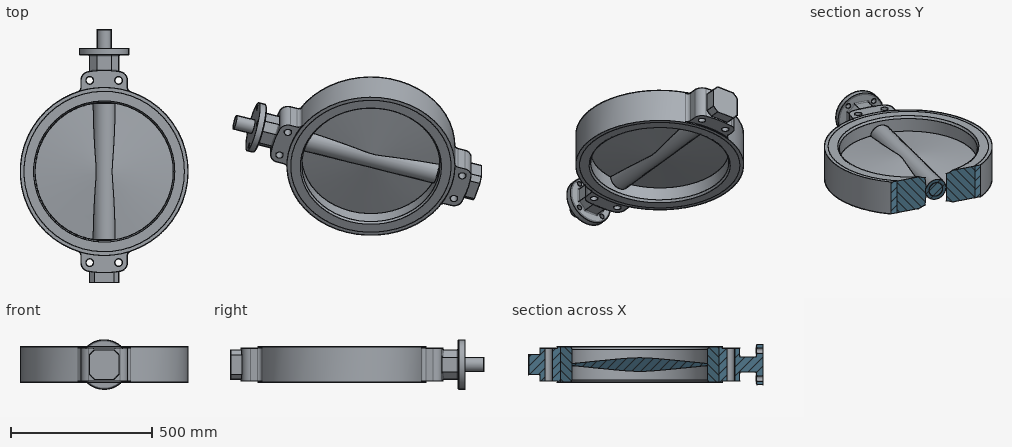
import cadquery as cq
import math

OVERALL_LENGTH = 895.0

RING_RADIUS = 297.0
RING_WIDTH = 126.0

LUG_WIDTH = 116.0
LUG_HOLE_X = 51.0
LUG_HOLE_Y = 322.0
LUG_HOLE_DIAMETER = 26.0
LUG_CORNER_RADIUS = 31.0
LUG_ROOT_FILLET = 16.0
LUG_HALF_SPAN = LUG_HOLE_X + LUG_CORNER_RADIUS
LUG_HOLE_DISTANCE = math.hypot(LUG_HOLE_X, LUG_HOLE_Y)
LUG_END_RADIUS = LUG_HOLE_DISTANCE + LUG_CORNER_RADIUS

NECK_WIDTH = 105.0
NECK_CHAMFER = 27.0
NECK_FILLET = 4.0
FLANGE_RADIUS = 88.0
FLANGE_THICKNESS = 24.0
FLANGE_CHAMFER = 3.0
FLANGE_BOLT_CIRCLE = 140.0
FLANGE_HOLE_DIAMETER = 18.0
FLANGE_HOLE_COUNT = 4
FLANGE_FIRST_HOLE_ANGLE = 45

FOOT_CHAMFER = 18.0

SHAFT_DIAMETER = 50.0
SHAFT_PROJECTION = 66.0

LINER_OUTER_RADIUS = 284.0
LINER_BORE_RADIUS = 244.0
LINER_CHAMFER_RADIAL = 5.0
LINER_CHAMFER_AXIAL = 9.0

DISC_RIM_THICKNESS = 9.0
DISC_CENTRE_THICKNESS = 61.0
HUB_RADIUS = 39.0
HUB_LENGTH = 481.5

SHAFT_TOP_Y = 502.0
FOOT_END_Y = SHAFT_TOP_Y - OVERALL_LENGTH
FLANGE_TOP_Y = SHAFT_TOP_Y - SHAFT_PROJECTION
FLANGE_BOTTOM_Y = FLANGE_TOP_Y - FLANGE_THICKNESS
STUB_BOTTOM_Y = -LUG_END_RADIUS
SHAFT_ENGAGEMENT_Y = HUB_LENGTH / 4


def plane_across_shaft(y):
    """Workplane across the shaft axis at y, facing +Y."""
    return cq.Workplane(cq.Plane(origin=(0, y, 0), xDir=(1, 0, 0), normal=(0, 1, 0)))


def plane_across_flow(z):
    """Workplane across the flow axis at z, facing +Z."""
    return cq.Workplane("XY", origin=(0, 0, z))


def disc_slab(radius, thickness):
    """Round slab about the Z axis, centred on z = 0."""
    return plane_across_flow(-thickness / 2).circle(radius).extrude(thickness)


def shaft_piece(y_start, y_end):
    return plane_across_shaft(y_start).circle(SHAFT_DIAMETER / 2).extrude(y_end - y_start)


def make_drive_shaft():
    """Upper shaft, from inside the disc hub out through the flange."""
    return shaft_piece(SHAFT_ENGAGEMENT_Y, SHAFT_TOP_Y)


def make_lower_stub():
    """Lower bearing shaft, from inside the disc hub to the blind end of the housing bore."""
    return shaft_piece(STUB_BOTTOM_Y, -SHAFT_ENGAGEMENT_Y)


def bore_for_shafts(body):
    return body.cut(make_drive_shaft()).cut(make_lower_stub())


def octagon_bar(y_start, y_end, chamfer):
    """Square bar along Y with its four long edges chamfered."""
    bar = plane_across_shaft(y_start).rect(NECK_WIDTH, NECK_WIDTH).extrude(y_end - y_start)
    return bar.edges("|Y").chamfer(chamfer)


def lug_plate(side):
    """Lug on the +Y (side = 1) or -Y (side = -1) end; its corners are concentric with its holes."""
    reach = LUG_END_RADIUS / LUG_HOLE_DISTANCE
    tangent_x = LUG_HOLE_X * reach
    tangent_y = side * LUG_HOLE_Y * reach
    hole_y = side * LUG_HOLE_Y
    middle_angle = math.atan2(LUG_HOLE_Y, LUG_HOLE_X) / 2
    middle_x = LUG_HOLE_X + LUG_CORNER_RADIUS * math.cos(middle_angle)
    middle_y = hole_y + side * LUG_CORNER_RADIUS * math.sin(middle_angle)
    outline = (
        plane_across_flow(-LUG_WIDTH / 2)
        .moveTo(-LUG_HALF_SPAN, 0)
        .lineTo(LUG_HALF_SPAN, 0)
        .lineTo(LUG_HALF_SPAN, hole_y)
        .threePointArc((middle_x, middle_y), (tangent_x, tangent_y))
        .threePointArc((0, side * LUG_END_RADIUS), (-tangent_x, tangent_y))
        .threePointArc((-middle_x, middle_y), (-LUG_HALF_SPAN, hole_y))
        .close()
    )
    return outline.extrude(LUG_WIDTH)


def lugged_ring():
    """Ring blank with both lugs, blended into the ring at their roots."""
    blank = disc_slab(RING_RADIUS, LUG_WIDTH).union(lug_plate(1)).union(lug_plate(-1))
    root_y = math.sqrt(RING_RADIUS**2 - LUG_HALF_SPAN**2)
    for x in (-LUG_HALF_SPAN, LUG_HALF_SPAN):
        for y in (-root_y, root_y):
            root_edge = cq.selectors.NearestToPointSelector((x, y, 0))
            blank = blank.edges(root_edge).fillet(LUG_ROOT_FILLET)
    lugs = blank.cut(disc_slab(RING_RADIUS, LUG_WIDTH))
    return disc_slab(RING_RADIUS, RING_WIDTH).union(lugs)


def lug_holes():
    """The four through holes of the lugs, as solid cylinders."""
    return (
        plane_across_flow(-LUG_WIDTH / 2)
        .rect(2 * LUG_HOLE_X, 2 * LUG_HOLE_Y, forConstruction=True)
        .vertices()
        .circle(LUG_HOLE_DIAMETER / 2)
        .extrude(LUG_WIDTH)
    )


def actuator_flange():
    """Round flange with the octagonal neck below it, filleted where they meet, and four bolt holes."""
    flange = plane_across_shaft(FLANGE_BOTTOM_Y).circle(FLANGE_RADIUS).extrude(FLANGE_THICKNESS)
    flange = flange.faces("<Y").edges().chamfer(FLANGE_CHAMFER)
    neck = octagon_bar(RING_RADIUS, FLANGE_BOTTOM_Y, NECK_CHAMFER)
    joint_half = NECK_WIDTH / 2 + NECK_FILLET / 2
    joint = cq.selectors.BoxSelector(
        (-joint_half, FLANGE_BOTTOM_Y - NECK_FILLET / 2, -joint_half),
        (joint_half, FLANGE_BOTTOM_Y + NECK_FILLET / 2, joint_half),
    )
    holes = (
        plane_across_shaft(FLANGE_BOTTOM_Y)
        .polarArray(FLANGE_BOLT_CIRCLE / 2, FLANGE_FIRST_HOLE_ANGLE, 360, FLANGE_HOLE_COUNT)
        .circle(FLANGE_HOLE_DIAMETER / 2)
        .extrude(FLANGE_THICKNESS)
    )
    return flange.union(neck).edges(joint).fillet(NECK_FILLET).cut(holes)


def blend_neck_into_lug(housing):
    """Fillet the neck's top, bottom and corner faces into the lug's rounded end; its sides stay sharp."""
    half_width = NECK_WIDTH / 2
    end_sag = LUG_END_RADIUS - math.sqrt(LUG_END_RADIUS**2 - half_width**2)
    joint = cq.selectors.BoxSelector(
        (-half_width + NECK_FILLET / 2, LUG_END_RADIUS - end_sag, -half_width - NECK_FILLET / 2),
        (half_width - NECK_FILLET / 2, LUG_END_RADIUS, half_width + NECK_FILLET / 2),
    )
    return housing.edges(joint).fillet(NECK_FILLET)


def make_housing():
    foot = octagon_bar(FOOT_END_Y, -RING_RADIUS, FOOT_CHAMFER)
    housing = blend_neck_into_lug(lugged_ring().union(actuator_flange())).union(foot)
    liner_seat = disc_slab(LINER_OUTER_RADIUS, RING_WIDTH)
    return bore_for_shafts(housing.cut(liner_seat).cut(lug_holes()))


def make_liner():
    """Sleeve flush with the ring faces, its bore flared at both ends and pierced by the shaft."""
    half_width = RING_WIDTH / 2
    throat_half = half_width - LINER_CHAMFER_AXIAL
    mouth_radius = LINER_BORE_RADIUS + LINER_CHAMFER_RADIAL
    section = [
        (LINER_OUTER_RADIUS, -half_width),
        (LINER_OUTER_RADIUS, half_width),
        (mouth_radius, half_width),
        (LINER_BORE_RADIUS, throat_half),
        (LINER_BORE_RADIUS, -throat_half),
        (mouth_radius, -half_width),
    ]
    sleeve = cq.Workplane("XZ").polyline(section).close().revolve(360, (0, 0, 0), (0, 1, 0))
    return bore_for_shafts(sleeve)


def make_disc():
    """Double cone that thickens to its centre, with a cylindrical hub along the shaft."""
    section = [
        (0, -DISC_CENTRE_THICKNESS / 2),
        (LINER_BORE_RADIUS, -DISC_RIM_THICKNESS / 2),
        (LINER_BORE_RADIUS, DISC_RIM_THICKNESS / 2),
        (0, DISC_CENTRE_THICKNESS / 2),
    ]
    plate = cq.Workplane("XZ").polyline(section).close().revolve(360, (0, 0, 0), (0, 1, 0))
    hub = plane_across_shaft(-HUB_LENGTH / 2).circle(HUB_RADIUS).extrude(HUB_LENGTH)
    return bore_for_shafts(plate.union(hub))


housing = make_housing()
liner = make_liner()
disc = make_disc()
drive_shaft = make_drive_shaft()
lower_stub = make_lower_stub()

result = cq.Compound.makeCompound(
    [housing.val(), liner.val(), disc.val(), drive_shaft.val(), lower_stub.val()]
)